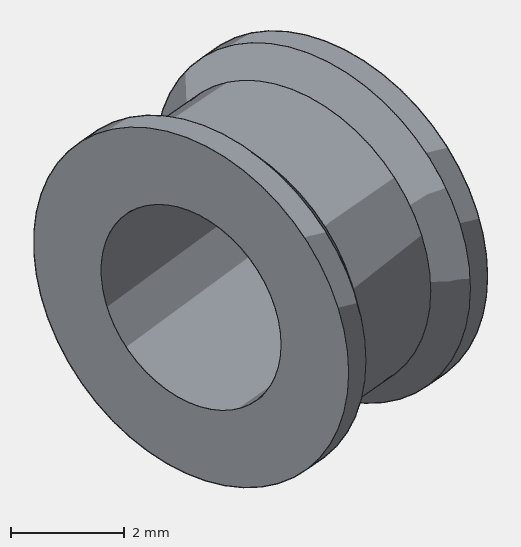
import cadquery as cq

outer_diameter = 7.0
length = 4.0
bore_diameter = 4.0
rim_width = 0.5
groove_depth = 0.5
taper_width = groove_depth

outer_radius = outer_diameter / 2
bore_radius = bore_diameter / 2
groove_radius = outer_radius - groove_depth
end_y = length / 2
rim_y = end_y - rim_width
groove_y = rim_y - taper_width

section = (
    cq.Workplane("XY")
    .moveTo(bore_radius, -end_y)
    .lineTo(outer_radius, -end_y)
    .lineTo(outer_radius, -rim_y)
    .lineTo(groove_radius, -groove_y)
    .lineTo(groove_radius, groove_y)
    .lineTo(outer_radius, rim_y)
    .lineTo(outer_radius, end_y)
    .lineTo(bore_radius, end_y)
    .close()
)

result = section.revolve(360, (0, 0, 0), (0, 1, 0))